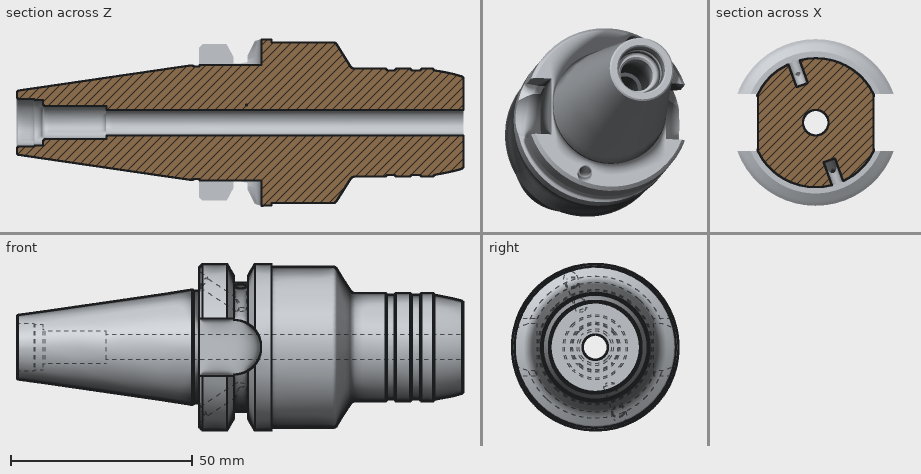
import cadquery as cq
import math

LENGTH = 123.4

SHANK_END_RADIUS = 8.9
SHANK_END_CHAMFER = 0.4
TAPER_SLOPE = 7 / 48
TAPER_END = 48.4
RELIEF_RADIUS = 31.2 / 2
RELIEF_START = 49.0

FLANGE_RADIUS = 46.0 / 2
FLANGE_START = 50.3
FLANGE_CHAMFER = 1.0
FLANGE_END = 70.3
GROOVE_START = 60.0
GROOVE_END = 63.8
GROOVE_RADIUS = 17.9
GROOVE_LIP_RADIUS = 19.6
GROOVE_FLANK_ANGLE = 60.0
GROOVE_FLANK = (FLANGE_RADIUS - GROOVE_LIP_RADIUS) / math.tan(math.radians(GROOVE_FLANK_ANGLE))

BODY_RADIUS = 44.5 / 2
SHOULDER_START = 88.0
SHOULDER_END = 92.5
SHOULDER_ROUND = 1.2
NOSE_RADIUS = 30.0 / 2
NOSE_GROOVE_RADIUS = 29.0 / 2
NOSE_STEP = NOSE_RADIUS - NOSE_GROOVE_RADIUS
NOSE_GROOVES = ((101.8, 104.8), (108.6, 111.8))
NOSE_TAPER_START = 114.9
NOSE_TIP_RADIUS = 12.8
NOSE_TIP_CHAMFER = 0.5
NOSE_BULGE = 0.19

MOUTH_RADIUS = 13.1 / 2
MOUTH_CHAMFER = 0.4
MOUTH_DEPTH = 4.7
PILOT_RADIUS = 12.5 / 2
PILOT_DEPTH = 7.2
THREAD_RADIUS = 9.0 / 2
THREAD_MOUTH_RADIUS = 10.1 / 2
THREAD_DEPTH = 24.7
THROUGH_RADIUS = 6.9 / 2

SLOT_FLOOR = 16.0
SLOT_HALF_WIDTH = 7.9
SLOT_END_RADIUS = 7.5

COOLANT_ANGLE = 19.8
COOLANT_TILT = 35.0
COOLANT_MOUTH_OFFSET = 19.7
COOLANT_MOUTH_DIAMETER = 4.0
COOLANT_MOUTH_DEPTH = 1.5
COOLANT_DIAMETER = 3.2
RADIAL_HOLE_X = 61.8
RADIAL_HOLE_BOTTOM = 11.1


def revolve_about_x(profile):
    """Close an (x, radius) outline on the axis and turn it about X."""
    points = [(profile[0][0], 0)] + profile + [(profile[-1][0], 0)]
    return cq.Workplane("XY").polyline(points).close().revolve(360, (0, 0, 0), (1, 0, 0))


def make_body():
    outline = [
        (0, SHANK_END_RADIUS - SHANK_END_CHAMFER),
        (SHANK_END_CHAMFER, SHANK_END_RADIUS + TAPER_SLOPE * SHANK_END_CHAMFER),
        (TAPER_END, SHANK_END_RADIUS + TAPER_SLOPE * TAPER_END),
        (RELIEF_START, RELIEF_RADIUS),
        (FLANGE_START, RELIEF_RADIUS),
        (FLANGE_START, FLANGE_RADIUS - FLANGE_CHAMFER),
        (FLANGE_START + FLANGE_CHAMFER, FLANGE_RADIUS),
        (GROOVE_START - GROOVE_FLANK, FLANGE_RADIUS),
        (GROOVE_START, GROOVE_LIP_RADIUS),
        (GROOVE_START, GROOVE_RADIUS),
        (GROOVE_END, GROOVE_RADIUS),
        (GROOVE_END, GROOVE_LIP_RADIUS),
        (GROOVE_END + GROOVE_FLANK, FLANGE_RADIUS),
        (FLANGE_END, FLANGE_RADIUS),
        (FLANGE_END, BODY_RADIUS),
        (SHOULDER_START, BODY_RADIUS),
        (SHOULDER_END, NOSE_RADIUS),
    ]
    for start, end in NOSE_GROOVES:
        outline += [
            (start, NOSE_RADIUS),
            (start + NOSE_STEP, NOSE_GROOVE_RADIUS),
            (end - NOSE_STEP, NOSE_GROOVE_RADIUS),
            (end, NOSE_RADIUS),
        ]
    arc_start = (NOSE_TAPER_START + NOSE_STEP, NOSE_GROOVE_RADIUS)
    arc_end = (LENGTH - NOSE_TIP_CHAMFER, NOSE_TIP_RADIUS)
    outline += [(NOSE_TAPER_START, NOSE_RADIUS), arc_start]
    profile = (
        cq.Workplane("XY").polyline([(0, 0)] + outline)
        .sagittaArc(arc_end, NOSE_BULGE)
        .lineTo(LENGTH, NOSE_TIP_RADIUS - NOSE_TIP_CHAMFER)
        .lineTo(LENGTH, 0)
        .close()
    )
    body = profile.revolve(360, (0, 0, 0), (1, 0, 0))
    body = body.edges(circle_at(SHOULDER_START)).fillet(SHOULDER_ROUND)
    return body.edges(circle_at(SHOULDER_END)).fillet(SHOULDER_ROUND)


def circle_at(x):
    """Select the circular edge of the turned outline at the given X."""
    margin = 0.1
    return cq.selectors.BoxSelector(
        (x - margin, -FLANGE_RADIUS, -FLANGE_RADIUS),
        (x + margin, FLANGE_RADIUS, FLANGE_RADIUS),
    )


def make_bore():
    pilot_chamfer = MOUTH_RADIUS - PILOT_RADIUS
    thread_chamfer = THREAD_MOUTH_RADIUS - THREAD_RADIUS
    return revolve_about_x([
        (0, MOUTH_RADIUS + MOUTH_CHAMFER),
        (MOUTH_CHAMFER, MOUTH_RADIUS),
        (MOUTH_DEPTH, MOUTH_RADIUS),
        (MOUTH_DEPTH + pilot_chamfer, PILOT_RADIUS),
        (PILOT_DEPTH, PILOT_RADIUS),
        (PILOT_DEPTH, THREAD_MOUTH_RADIUS),
        (PILOT_DEPTH + thread_chamfer, THREAD_RADIUS),
        (THREAD_DEPTH, THREAD_RADIUS),
        (THREAD_DEPTH, THROUGH_RADIUS),
        (LENGTH, THROUGH_RADIUS),
    ])


def make_slot(side):
    """Drive slot with a round end; side is -1 or +1 along Y."""
    depth = FLANGE_RADIUS - SLOT_FLOOR
    middle = side * (SLOT_FLOOR + FLANGE_RADIUS) / 2
    straight_length = GROOVE_START - FLANGE_START
    straight = cq.Workplane("XY").box(straight_length, depth, 2 * SLOT_HALF_WIDTH)
    straight = straight.translate((FLANGE_START + straight_length / 2, middle, 0))
    round_end = cq.Workplane("XZ").circle(SLOT_END_RADIUS).extrude(depth / 2, both=True)
    return straight.union(round_end.translate((GROOVE_START, middle, 0)))


def drill(start, direction, diameter, depth):
    return cq.Workplane(cq.Solid.makeCylinder(diameter / 2, depth, cq.Vector(*start), cq.Vector(*direction)))


def make_coolant_holes():
    """Inclined hole from the flange face that meets a radial hole in the gripper groove."""
    tilt = math.radians(COOLANT_TILT)
    inward = (math.cos(tilt), 0, -math.sin(tilt))
    lead = COOLANT_MOUTH_DIAMETER / 2 * math.tan(tilt)
    start = (FLANGE_START - lead * inward[0], 0, COOLANT_MOUTH_OFFSET - lead * inward[2])
    feed_depth = lead + (RADIAL_HOLE_X - FLANGE_START) / math.cos(tilt)
    mouth = drill(start, inward, COOLANT_MOUTH_DIAMETER, lead + COOLANT_MOUTH_DEPTH)
    feed = drill(start, inward, COOLANT_DIAMETER, feed_depth)
    radial_depth = GROOVE_LIP_RADIUS - RADIAL_HOLE_BOTTOM
    radial = drill((RADIAL_HOLE_X, 0, GROOVE_LIP_RADIUS), (0, 0, -1), COOLANT_DIAMETER, radial_depth)
    return mouth.union(feed).union(radial)


result = make_body().cut(make_bore())
for slot_side in (-1, 1):
    result = result.cut(make_slot(slot_side))
for half_turn in (0, 180):
    coolant_holes = make_coolant_holes().rotate((0, 0, 0), (1, 0, 0), COOLANT_ANGLE + half_turn)
    result = result.cut(coolant_holes)